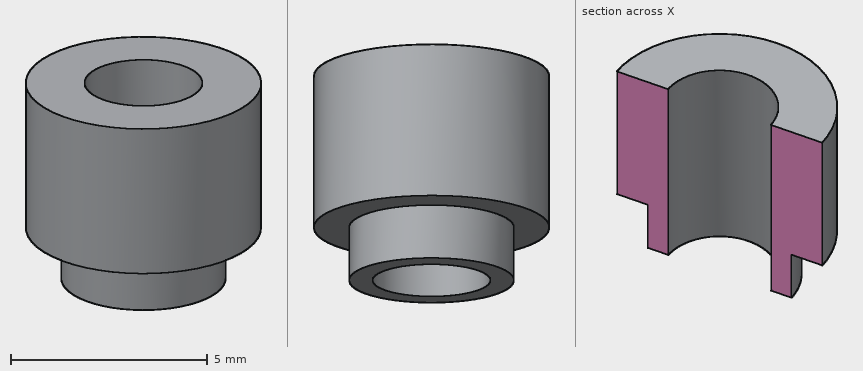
import cadquery as cq

body_diameter = 6
spigot_diameter = 4.2
bore_diameter = 3
total_height = 5.4
body_height = 4.0
spigot_height = total_height - body_height

spigot = cq.Workplane("XY").circle(spigot_diameter / 2).extrude(spigot_height)

stepped_bush = spigot.faces(">Z").workplane().circle(body_diameter / 2).extrude(body_height)

result = stepped_bush.faces(">Z").workplane().hole(bore_diameter)